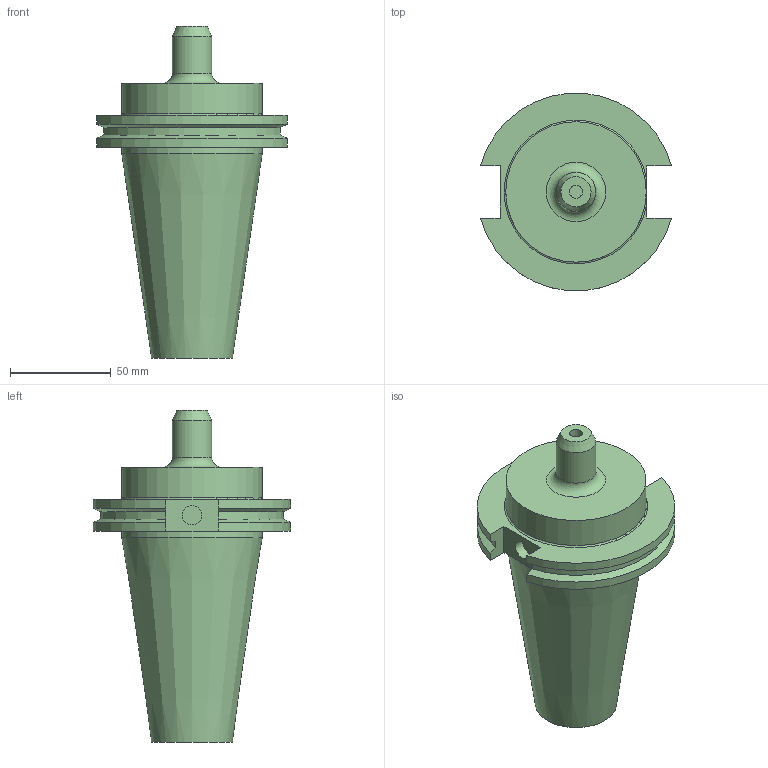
import cadquery as cq
import math


gauge_radius = 69.85 / 2
taper_length = 101.6
taper_ratio = 7 / 24
small_end_radius = gauge_radius - taper_length * taper_ratio / 2

flange_radius = 98.425 / 2
flange_bottom = 3.175
flange_thickness = 15.875
flange_top = flange_bottom + flange_thickness

groove_mid = flange_bottom + flange_thickness / 2
groove_floor_radius = 45.7
groove_floor_width = 3.8
groove_mouth_width = 7.0

slot_width = 25.91
slot_floor_minus_x = 37.7
slot_floor_plus_x = 35.2

pocket_diameter = 9.6
pocket_depth = 5.0

collar_radius = gauge_radius
collar_top = 35.0
collar_fillet = 0.8

stem_radius = 9.8
stem_top = 63.5
stem_fillet = 5.0
stem_tip_radius = 7.5
stem_tip_height = 5.0

bore_diameter = 6.4
bore_depth = 20.0


def fillet_midpoint(wall_radius, base_height, fillet_radius):
    """Middle of a concave fillet between a flat base and the cylinder above it."""
    corner_offset = fillet_radius * (1 - math.sqrt(0.5))
    return (wall_radius + corner_offset, base_height + corner_offset)


def revolved_body():
    """Shank, flange, collar and stem as one half profile turned about Z."""
    profile = (
        cq.Workplane("XZ")
        .moveTo(0, -taper_length)
        .lineTo(small_end_radius, -taper_length)
        .lineTo(gauge_radius, 0)
        .lineTo(gauge_radius, flange_bottom)
        .lineTo(flange_radius, flange_bottom)
        .lineTo(flange_radius, groove_mid - groove_mouth_width / 2)
        .lineTo(groove_floor_radius, groove_mid - groove_floor_width / 2)
        .lineTo(groove_floor_radius, groove_mid + groove_floor_width / 2)
        .lineTo(flange_radius, groove_mid + groove_mouth_width / 2)
        .lineTo(flange_radius, flange_top)
        .lineTo(collar_radius + collar_fillet, flange_top)
        .threePointArc(
            fillet_midpoint(collar_radius, flange_top, collar_fillet),
            (collar_radius, flange_top + collar_fillet),
        )
        .lineTo(collar_radius, collar_top)
        .lineTo(stem_radius + stem_fillet, collar_top)
        .threePointArc(
            fillet_midpoint(stem_radius, collar_top, stem_fillet),
            (stem_radius, collar_top + stem_fillet),
        )
        .lineTo(stem_radius, stem_top - stem_tip_height)
        .lineTo(stem_tip_radius, stem_top)
        .lineTo(0, stem_top)
        .close()
    )
    return profile.revolve(360, (0, 0, 0), (0, 1, 0))


def drive_slot(floor_distance, side):
    """Cutter for one slot through the flange; side is +1 for +X, -1 for -X.

    It reaches above the flange far enough to trim the collar fillet as well.
    """
    radial_length = flange_radius - floor_distance
    center_x = side * (floor_distance + radial_length / 2)
    return (
        cq.Workplane("XY")
        .workplane(offset=flange_bottom)
        .center(center_x, 0)
        .rect(radial_length, slot_width)
        .extrude(flange_thickness + collar_fillet)
    )


def slot_pocket():
    """Cutter for the round pocket, running along +X from the -X slot floor."""
    return (
        cq.Workplane("YZ")
        .workplane(offset=-slot_floor_minus_x)
        .center(0, groove_mid)
        .circle(pocket_diameter / 2)
        .extrude(pocket_depth)
    )


def stem_bore():
    """Cutter for the bore, running down from the stem tip."""
    return (
        cq.Workplane("XY")
        .workplane(offset=stem_top)
        .circle(bore_diameter / 2)
        .extrude(-bore_depth)
    )


result = (
    revolved_body()
    .cut(drive_slot(slot_floor_minus_x, -1))
    .cut(drive_slot(slot_floor_plus_x, 1))
    .cut(slot_pocket())
    .cut(stem_bore())
)